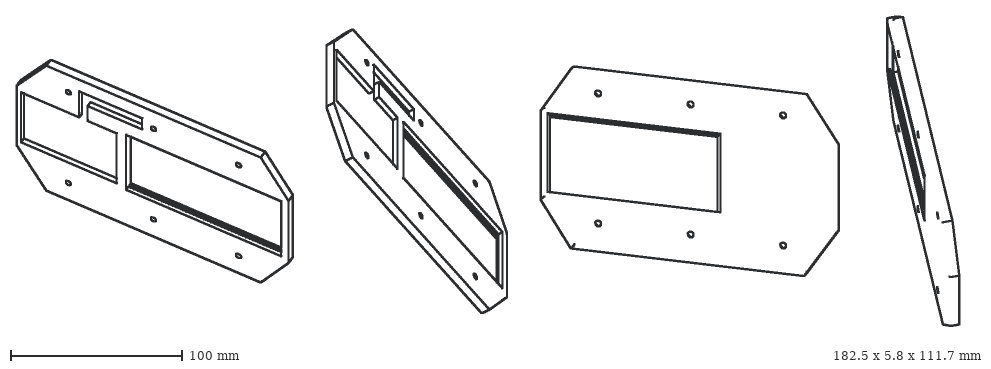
import cadquery as cq

length = 182.5
height = 111.7
thickness = 5.8
left_corner_run = 19.9
right_corner_run = 18.6
left_edge_height = 53.3
right_edge_height = 55.5
back_fillet = 1.0

recess_depth = 3.5
pocket_left = -88.3
pocket_right = -24.0
pocket_half_height = 22.3
channel_left = -49.3
channel_width = 5.7
arm_right = -7.1
arm_top = 45.5
arm_width = 9.9

window_left = -17.9
window_right = 86.3
window_half_height = 24.5
front_lip = 3.0
groove_width = 1.5
undercut = 2.5

hole_diameter = 3.5
hole_pitch = 57.1
hole_middle_x = 0.5
hole_half_spacing = 40.5


def block(x_min, x_max, z_min, z_max, y_min, y_max):
    """Return a box between the given limits."""
    size = (x_max - x_min, y_max - y_min, z_max - z_min)
    return cq.Workplane("XY").box(*size, centered=False).translate((x_min, y_min, z_min))


def make_plate():
    """Octagonal plate with its back rim rounded."""
    half_length = length / 2
    half_height = height / 2
    outline = [
        (-half_length, -left_edge_height / 2),
        (-half_length + left_corner_run, -half_height),
        (half_length - right_corner_run, -half_height),
        (half_length, -right_edge_height / 2),
        (half_length, right_edge_height / 2),
        (half_length - right_corner_run, half_height),
        (-half_length + left_corner_run, half_height),
        (-half_length, left_edge_height / 2),
    ]
    plate = cq.Workplane("XZ").polyline(outline).close().extrude(-thickness)
    return plate.faces(">Y").edges().fillet(back_fillet)


def make_recess():
    """Rectangular pocket joined to an L-shaped channel above it."""
    pocket = block(pocket_left, pocket_right, -pocket_half_height, pocket_half_height, 0, recess_depth)
    riser = block(channel_left, channel_left + channel_width, 0, arm_top, 0, recess_depth)
    arm = block(channel_left, arm_right, arm_top - arm_width, arm_top, 0, recess_depth)
    return pocket.union(riser).union(arm)


def make_window():
    """Through window with grooved long sides and an undercut right end open to the back."""
    opening = block(window_left, window_right, -window_half_height, window_half_height, 0, thickness)
    groove_half_height = window_half_height + undercut
    groove = block(
        window_left,
        window_right + undercut,
        -groove_half_height,
        groove_half_height,
        front_lip,
        front_lip + groove_width,
    )
    end_relief = block(
        window_right,
        window_right + undercut,
        -window_half_height,
        window_half_height,
        front_lip,
        thickness,
    )
    return opening.union(groove).union(end_relief)


def make_holes():
    """Two rows of three screw holes."""
    centers = [
        (hole_middle_x + column * hole_pitch, row * hole_half_spacing)
        for column in (-1, 0, 1)
        for row in (-1, 1)
    ]
    return cq.Workplane("XZ").pushPoints(centers).circle(hole_diameter / 2).extrude(-thickness)


result = make_plate().cut(make_recess()).cut(make_window()).cut(make_holes())